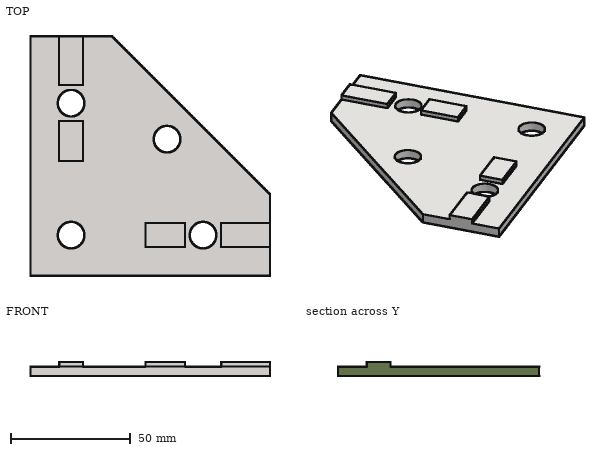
import cadquery as cq

side = 100.0
plate_thickness = 4.0
short_edge = 34.0

hole_diameter = 11.0
edge_offset = 17.0
arm_hole = 72.0
middle_hole = 57.0

pad_width = 10.0
pad_height = 2.0
pad_gap = 15.0
inner_pad_start = 48.0
inner_pad_end = arm_hole - pad_gap / 2
outer_pad_start = arm_hole + pad_gap / 2


def make_plate():
    outline = [
        (0, 0),
        (side, 0),
        (side, short_edge),
        (short_edge, side),
        (0, side),
    ]
    return cq.Workplane("XY").polyline(outline).close().extrude(plate_thickness)


def make_pad(start, end, along_x):
    """Pad on the plate's top face, from start to end along one arm."""
    length = end - start
    across = edge_offset - pad_width / 2
    if along_x:
        size = (length, pad_width, pad_height)
        corner = (start, across, plate_thickness)
    else:
        size = (pad_width, length, pad_height)
        corner = (across, start, plate_thickness)
    return cq.Workplane("XY").box(*size, centered=False).translate(corner)


def make_holes():
    centres = [
        (edge_offset, edge_offset),
        (arm_hole, edge_offset),
        (edge_offset, arm_hole),
        (middle_hole, middle_hole),
    ]
    return cq.Workplane("XY").pushPoints(centres).circle(hole_diameter / 2).extrude(plate_thickness)


result = make_plate().cut(make_holes())
for along_x in (True, False):
    result = result.union(make_pad(inner_pad_start, inner_pad_end, along_x))
    result = result.union(make_pad(outer_pad_start, side, along_x))